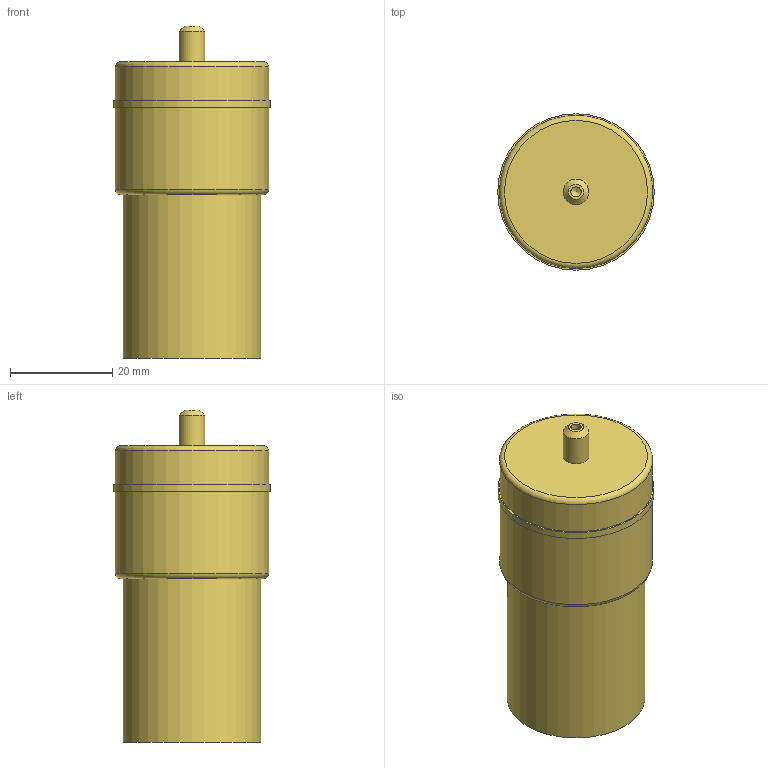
import cadquery as cq
import math

SHANK_DIAMETER = 27.0
SHANK_LENGTH = 32.0

HEAD_DIAMETER = 30.0
HEAD_LENGTH = 26.0
HEAD_FILLET = 1.0

BAND_DIAMETER = 30.63
BAND_WIDTH = 1.4
BAND_BASE_ABOVE_HEAD_BASE = 17.1

PIN_DIAMETER = 5.0
PIN_LENGTH = 7.0
PIN_CHAMFER = 1.0

HOLE_DIAMETER = 2.0
HOLE_DEPTH = 5.0
DRILL_POINT_ANGLE = 118.0

HEAD_BASE_Z = SHANK_LENGTH
HEAD_TOP_Z = HEAD_BASE_Z + HEAD_LENGTH
PIN_TOP_Z = HEAD_TOP_Z + PIN_LENGTH


def cylinder(diameter, base_z, length):
    """Solid cylinder on the Z axis, rising from base_z."""
    return cq.Workplane("XY").workplane(offset=base_z).circle(diameter / 2).extrude(length)


def make_shank():
    """Plain lower cylinder."""
    return cylinder(SHANK_DIAMETER, 0, SHANK_LENGTH)


def make_head():
    """Wider cylinder with both rims rounded and a thin raised band around it."""
    body = cylinder(HEAD_DIAMETER, HEAD_BASE_Z, HEAD_LENGTH).edges("%CIRCLE").fillet(HEAD_FILLET)
    band = cylinder(BAND_DIAMETER, HEAD_BASE_Z + BAND_BASE_ABOVE_HEAD_BASE, BAND_WIDTH)
    return body.union(band)


def make_pin():
    """Slim pin on top of the head, chamfered at its free end."""
    return cylinder(PIN_DIAMETER, HEAD_TOP_Z, PIN_LENGTH).faces(">Z").chamfer(PIN_CHAMFER)


def make_pin_hole():
    """Blind drilled hole in the pin's end: straight bore ending in a drill point."""
    radius = HOLE_DIAMETER / 2
    shoulder_z = PIN_TOP_Z - HOLE_DEPTH
    point_depth = radius / math.tan(math.radians(DRILL_POINT_ANGLE / 2))
    return (
        cq.Workplane("XZ")
        .moveTo(0, PIN_TOP_Z)
        .lineTo(radius, PIN_TOP_Z)
        .lineTo(radius, shoulder_z)
        .lineTo(0, shoulder_z - point_depth)
        .close()
        .revolve(360, (0, 0, 0), (0, 1, 0))
    )


result = make_shank().union(make_head()).union(make_pin()).cut(make_pin_hole())